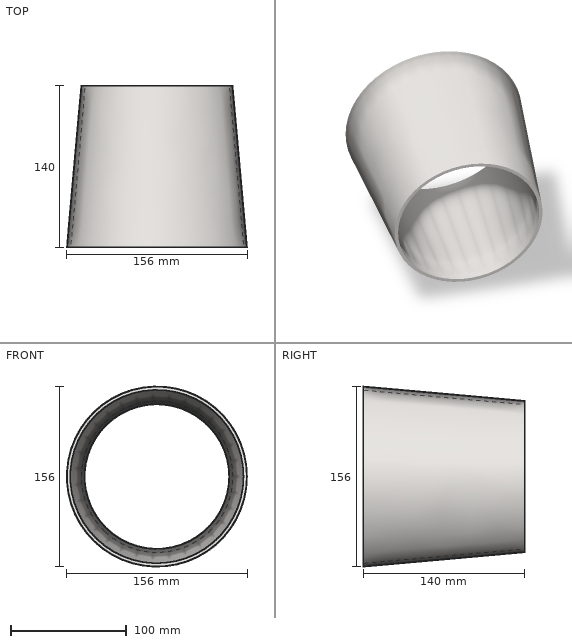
import cadquery as cq

large_diameter = 156.0
small_diameter = 131.0
length = 140.0
wall_thickness = 3.0

large_radius = large_diameter / 2
small_radius = small_diameter / 2


def tapered_sleeve():
    """Conical pipe reducer along Y: large end at Y = 0, small end at Y = length."""
    wall_section = (
        cq.Workplane("XY")
        .moveTo(large_radius - wall_thickness, 0)
        .lineTo(large_radius, 0)
        .lineTo(small_radius, length)
        .lineTo(small_radius - wall_thickness, length)
        .close()
    )
    return wall_section.revolve(360, (0, 0, 0), (0, 1, 0))


result = tapered_sleeve()